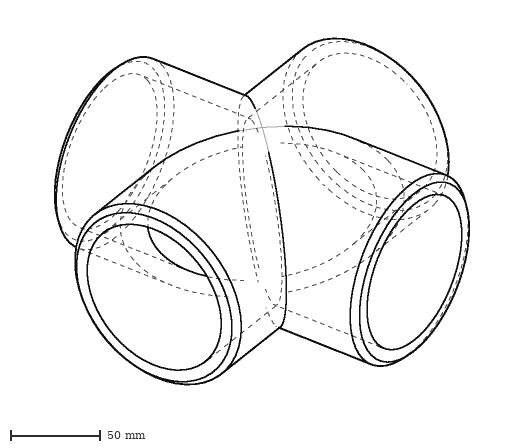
import cadquery as cq

span = 209.3
outer_diameter = 114.3
bore_diameter = 92.0
end_chamfer = 3.8


def centred_cylinder(plane, diameter):
    """Cylinder as long as the span, centred on the origin along the plane's normal."""
    return cq.Workplane(plane).circle(diameter / 2).extrude(span / 2, both=True)


def chamfered_pipe_body(plane):
    """Solid outer body of one pipe with both end rims bevelled."""
    body = centred_cylinder(plane, outer_diameter)
    return body.faces("%PLANE").edges().chamfer(end_chamfer)


result = chamfered_pipe_body("YZ").union(chamfered_pipe_body("XZ"))

for plane in ("YZ", "XZ"):
    result = result.cut(centred_cylinder(plane, bore_diameter))